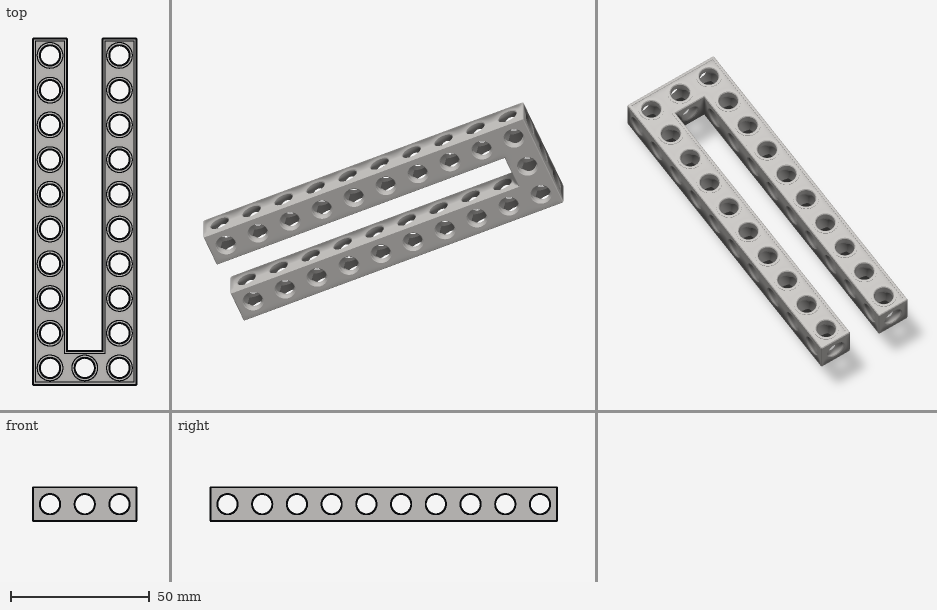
import cadquery as cq

pitch = 12.5
columns = 3
rows = 10
hole_diameter = 7.0
hole_chamfer = 0.3
edge_chamfer = 0.3
collar_diameter = 9.2
rim_width = 1.1
recess_depth = 0.2

width = columns * pitch
length = rows * pitch
height = pitch
slot_width = width - 2 * pitch
slot_length = length - pitch
closed_end_y = -length / 2
open_end_y = length / 2
slot_floor_y = open_end_y - slot_length

column_positions = [(i - (columns - 1) / 2) * pitch for i in range(columns)]
row_positions = [(i - (rows - 1) / 2) * pitch for i in range(rows)]
outer_columns = [column_positions[0], column_positions[-1]]
vertical_hole_centers = [(x, y) for x in outer_columns for y in row_positions]
vertical_hole_centers += [(x, row_positions[0]) for x in column_positions[1:-1]]


def u_prism(inset, bottom, depth):
    """U-shaped prism whose outline lies `inset` inside the outline of the beam."""
    outer_x = width / 2 - inset
    inner_x = slot_width / 2 + inset
    bottom_y = closed_end_y + inset
    floor_y = slot_floor_y - inset
    top_y = open_end_y - inset
    outline = [
        (-outer_x, bottom_y),
        (outer_x, bottom_y),
        (outer_x, top_y),
        (inner_x, top_y),
        (inner_x, floor_y),
        (-inner_x, floor_y),
        (-inner_x, top_y),
        (-outer_x, top_y),
    ]
    return cq.Workplane("XY").workplane(offset=bottom).polyline(outline).close().extrude(depth)


def is_slot_corner(edge):
    """True for the two upright inner edges at the closed end of the slot."""
    upright = edge.BoundingBox().zlen > height / 2
    return upright and abs(edge.Center().y - slot_floor_y) < edge_chamfer


def chamfered_bore(center, axis, span):
    """Cutter along `axis`, centred on `center`, `span` long, flared at both ends."""
    radius = hole_diameter / 2
    mouth_radius = radius + hole_chamfer
    half = span / 2
    profile = [
        (0, -half),
        (mouth_radius, -half),
        (radius, -half + hole_chamfer),
        (radius, half - hole_chamfer),
        (mouth_radius, half),
        (0, half),
    ]
    bore = cq.Workplane("XZ").polyline(profile).close().revolve(360, (0, 0), (0, 1))
    if axis == "X":
        bore = bore.rotate((0, 0, 0), (0, 1, 0), 90)
    elif axis == "Y":
        bore = bore.rotate((0, 0, 0), (1, 0, 0), 90)
    return bore.translate(center)


body = u_prism(0, -height / 2, height)
edges_to_chamfer = body.edges().filter(lambda edge: not is_slot_corner(edge))
body = edges_to_chamfer.chamfer(edge_chamfer)

relief = u_prism(rim_width, height / 2 - recess_depth, recess_depth)
collars = (
    cq.Workplane("XY")
    .workplane(offset=height / 2 - recess_depth)
    .pushPoints(vertical_hole_centers)
    .circle(collar_diameter / 2)
    .extrude(recess_depth)
)
body = body.cut(relief.cut(collars))

for x, y in vertical_hole_centers:
    body = body.cut(chamfered_bore((x, y, 0), "Z", height))

for y in row_positions[1:]:
    for x in outer_columns:
        body = body.cut(chamfered_bore((x, y, 0), "X", pitch))
body = body.cut(chamfered_bore((0, row_positions[0], 0), "X", width))

for x in outer_columns:
    body = body.cut(chamfered_bore((x, 0, 0), "Y", length))
for x in column_positions[1:-1]:
    body = body.cut(chamfered_bore((x, row_positions[0], 0), "Y", pitch))

result = body